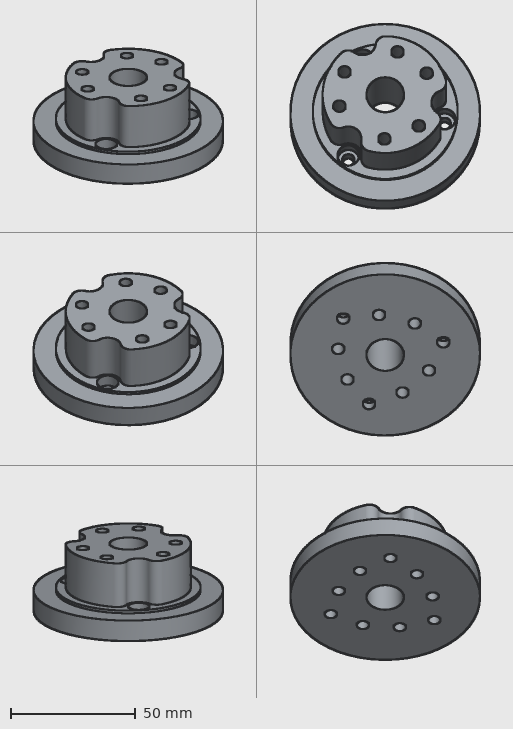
import cadquery as cq
import math

flange_radius = 38.0
flange_height = 8.75
lip_radius = 29.0
lip_height = 1.15
lip_top = flange_height + lip_height

total_height = 28.35
boss_radius = 25.1
scallop_radius = 5.25
scallop_corner_radius = 4.0

bore_diameter = 15.0
hole_diameter = 4.95
boss_hole_circle_radius = 19.0
screw_circle_radius = 24.0
counterbore_diameter = 8.7
counterbore_depth = 5.0

pattern_angle = -3.1
boss_hole_half_spacing = 23.0
pair_angles = [pattern_angle + turn for turn in (0, 120, 240)]
screw_angles = [angle + 60 for angle in pair_angles]
boss_hole_angles = [
    angle + side * boss_hole_half_spacing for angle in pair_angles for side in (-1, 1)
]

seam_tolerance = 0.01


def cylinders_on_circle(circle_radius, angles, diameter, bottom, top):
    """Vertical cylinders at the given angles on a circle about Z."""
    centres = [
        (
            circle_radius * math.cos(math.radians(angle)),
            circle_radius * math.sin(math.radians(angle)),
        )
        for angle in angles
    ]
    plane = cq.Workplane("XY", origin=(0, 0, bottom))
    return plane.pushPoints(centres).circle(diameter / 2).extrude(top - bottom)


def make_base():
    """Flange with the low round lip on top."""
    flange = cq.Workplane("XY").circle(flange_radius).extrude(flange_height)
    return flange.faces(">Z").workplane().circle(lip_radius).extrude(lip_height)


def make_boss():
    """Round boss with scallops concentric with the screws and rounded corners."""
    plane = cq.Workplane("XY", origin=(0, 0, lip_top))
    boss = plane.circle(boss_radius).extrude(total_height - lip_top)
    boss = boss.cut(
        cylinders_on_circle(
            screw_circle_radius, screw_angles, 2 * scallop_radius, lip_top, total_height
        )
    )
    corners = boss.edges("|Z").filter(
        lambda edge: edge.Center().x < 0 or abs(edge.Center().y) > seam_tolerance
    )
    return corners.fillet(scallop_corner_radius)


def make_screw_holes():
    """Through holes with counterbores sunk from the lip."""
    holes = cylinders_on_circle(screw_circle_radius, screw_angles, hole_diameter, 0, lip_top)
    counterbores = cylinders_on_circle(
        screw_circle_radius,
        screw_angles,
        counterbore_diameter,
        lip_top - counterbore_depth,
        lip_top,
    )
    return holes.union(counterbores)


bore = cq.Workplane("XY").circle(bore_diameter / 2).extrude(total_height)
boss_holes = cylinders_on_circle(
    boss_hole_circle_radius, boss_hole_angles, hole_diameter, 0, total_height
)

result = make_base().union(make_boss())
result = result.cut(bore).cut(boss_holes).cut(make_screw_holes())